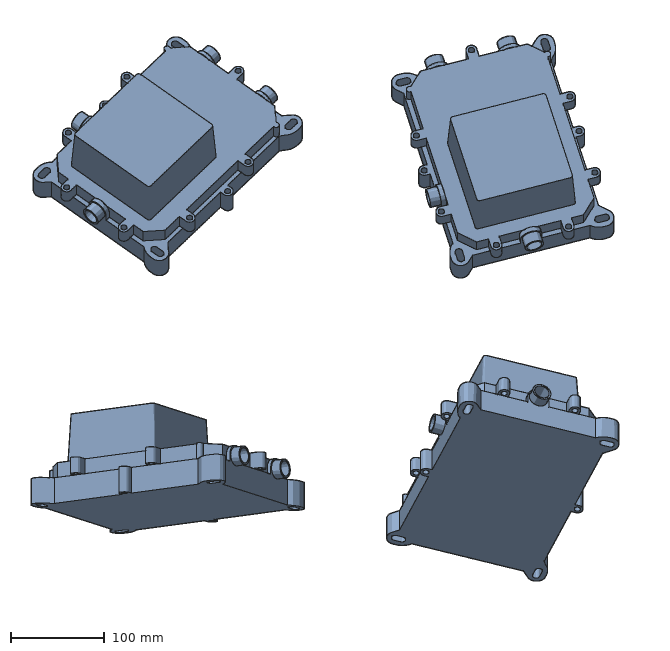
import cadquery as cq
import math


base_length_x = 161.5
base_length_y = 225.0
base_height = 28.0
base_center = (-0.37, -0.5)

ears = [
    ((80.0, 110.0), 0),
    ((-77.5, 109.0), 90),
    ((-78.0, -109.0), 180),
    ((79.5, -108.2), 270),
]
ear_radius = 10.1
ear_tip_offset = 2.7
ear_straight_end = -0.7
ear_flank_end = (3.2, -16.0)
ear_flank_foot = (0.5, -20.0)
ear_inner_reach = 17.3
slot_length = 15.8
slot_width = 8.0

lid_length_x = 151.5
lid_length_y = 215.3
lid_height = 17.3
lid_chamfer = 16.5
lid_top = base_height + lid_height
nub_radius = 3.2
nub_x = 76.5
nub_y = 89.7

lug_radius = 6.0
lug_hole_diameter = 6.5
lid_lug_x = 85.0
lid_lug_side_y = [33.9, -61.8]
lid_lug_y = 117.0
base_lug_x = 85.8

cover_size = 111.0
cover_top_size = 105.8
cover_height = 56.8
cover_corner_radius = 3.0
cover_center = (-0.2, -37.3)

connector_pitch = 80.0
side_connector_y = -37.8
connector_axis_z = 36.0
rear_axis_z = 34.8
connector_radius = 10.1
connector_bore_radius = 8.2
flange_radius = 11.9
front_reach = 124.3
rear_reach = 122.5
side_reach = 92.7


def slab(length_x, length_y, center, bottom, height):
    return (
        cq.Workplane("XY", origin=(center[0], center[1], bottom))
        .rect(length_x, length_y)
        .extrude(height)
    )


def ear_outline():
    """Ear pointing along +Y with the slot centre at the origin and its outer flank on +X."""
    diagonal = ear_radius * math.sqrt(0.5)
    inner_start = (-diagonal, ear_tip_offset + diagonal)
    inner_foot = (inner_start[0] - ear_inner_reach, inner_start[1] - ear_inner_reach)
    return (
        cq.Workplane("XY")
        .moveTo(*inner_foot)
        .lineTo(*inner_start)
        .threePointArc((diagonal, ear_tip_offset + diagonal), (ear_radius, ear_tip_offset))
        .lineTo(ear_radius, ear_straight_end)
        .tangentArcPoint(ear_flank_end, relative=False)
        .lineTo(*ear_flank_foot)
        .lineTo(inner_foot[0], ear_flank_foot[1])
        .close()
    )


def place_ear(shape, center, angle):
    return shape.rotate((0, 0, 0), (0, 0, 1), angle).translate((center[0], center[1], 0))


def lug(center, root, bottom, height):
    """Round-ended lug reaching from a root point in the body out to its screw centre."""
    reach_x = abs(center[0] - root[0])
    reach_y = abs(center[1] - root[1])
    middle = ((center[0] + root[0]) / 2, (center[1] + root[1]) / 2)
    width = 2 * lug_radius
    bridge = slab(max(reach_x, width), max(reach_y, width), middle, bottom, height)
    end = cq.Workplane("XY", origin=(center[0], center[1], bottom)).circle(lug_radius).extrude(height)
    return bridge.union(end)


def connector(flange_start, flange_end, reach, axis_z):
    """Connector pointing along -Y, as a solid (arched flange plus tube) and the bore to cut from it."""
    flange_length = flange_end - flange_start
    start_plane = cq.Workplane("XZ", origin=(0, -flange_start, axis_z))
    foot_bottom = base_height - axis_z
    flange = (
        start_plane.moveTo(-flange_radius, foot_bottom)
        .lineTo(-flange_radius, 0)
        .threePointArc((0, flange_radius), (flange_radius, 0))
        .lineTo(flange_radius, foot_bottom)
        .close()
        .extrude(flange_length)
    )
    tube = start_plane.circle(connector_radius).extrude(reach - flange_start)
    bore = start_plane.circle(connector_bore_radius).extrude(reach - flange_start)
    return flange.union(tube), bore


body = slab(base_length_x, base_length_y, base_center, 0, base_height)
slot = cq.Workplane("XY").slot2D(slot_length, slot_width, 90).extrude(base_height)
for ear_center, ear_angle in ears:
    body = body.union(place_ear(ear_outline().extrude(base_height), ear_center, ear_angle))
for ear_center, ear_angle in ears:
    body = body.cut(place_ear(slot, ear_center, ear_angle))

lid = slab(lid_length_x, lid_length_y, (0, 0), base_height, lid_height)
body = body.union(lid.edges("|Z").chamfer(lid_chamfer))
nub_bar = (
    cq.Workplane("XY", origin=(0, nub_y, base_height))
    .slot2D(2 * (nub_x + nub_radius), 2 * nub_radius)
    .extrude(lid_height)
)
body = body.union(nub_bar)

lid_lugs = [(0, lid_lug_y)]
lid_lugs += [(direction * connector_pitch / 2, -lid_lug_y) for direction in (-1, 1)]
for lug_x, lug_y in lid_lugs:
    root_y = math.copysign(lid_length_y / 2 - lug_radius, lug_y)
    body = body.union(lug((lug_x, lug_y), (lug_x, root_y), base_height, lid_height))
side_lugs = [(direction * lid_lug_x, y) for direction in (-1, 1) for y in lid_lug_side_y]
for lug_x, lug_y in side_lugs:
    root_x = math.copysign(lid_length_x / 2 - lug_radius, lug_x)
    body = body.union(lug((lug_x, lug_y), (root_x, lug_y), base_height, lid_height))
base_lugs = [(base_center[0] + direction * base_lug_x, 0) for direction in (-1, 1)]
for lug_x, lug_y in base_lugs:
    root_x = math.copysign(lid_length_x / 2 - lug_radius, lug_x)
    body = body.union(lug((lug_x, lug_y), (root_x, lug_y), 0, base_height))
lug_holes = (
    cq.Workplane("XY")
    .pushPoints(lid_lugs + side_lugs + base_lugs)
    .circle(lug_hole_diameter / 2)
    .extrude(lid_top)
)
body = body.cut(lug_holes)

taper = math.degrees(math.atan((cover_size - cover_top_size) / 2 / cover_height))
cover = (
    cq.Workplane("XY", origin=(cover_center[0], cover_center[1], lid_top))
    .rect(cover_size, cover_size)
    .extrude(cover_height, taper=taper)
)
body = body.union(cover.edges("not #Z").fillet(cover_corner_radius))

front_wall = base_length_y / 2 - base_center[1]
rear_wall = base_length_y / 2 + base_center[1]
side_wall = base_length_x / 2 - base_center[0]
front = connector(lid_length_y / 2, front_wall, front_reach, connector_axis_z)
rear = connector(lid_length_y / 2, rear_wall, rear_reach, rear_axis_z)
side = connector(lid_length_x / 2, side_wall, side_reach, connector_axis_z)
placements = [
    (front, 0, (0, 0, 0)),
    (rear, 180, (-connector_pitch / 2, 0, 0)),
    (rear, 180, (connector_pitch / 2, 0, 0)),
    (side, -90, (0, side_connector_y, 0)),
]
for (solid, bore), angle, offset in placements:
    body = body.union(solid.rotate((0, 0, 0), (0, 0, 1), angle).translate(offset))
    body = body.cut(bore.rotate((0, 0, 0), (0, 0, 1), angle).translate(offset))

result = body